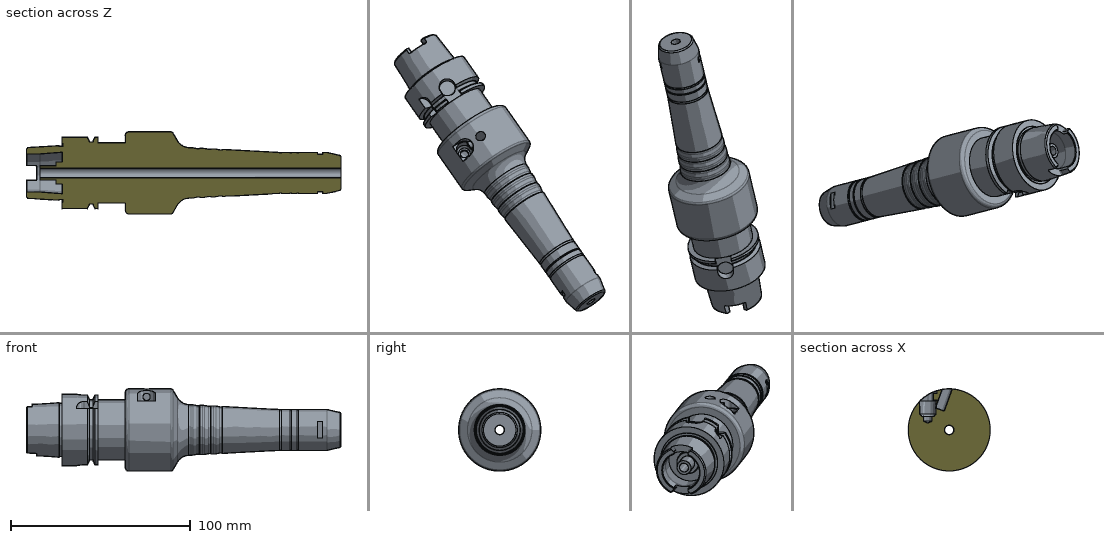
import cadquery as cq
import math

LENGTH = 175.0

TAPER_TIP_RADIUS = 14.2
TAPER_END_RADIUS = 15.2
TAPER_END_X = 18.2
TIP_CHAMFER = 0.7
RELIEF_RADIUS = 14.9
FACE_RELIEF_RADIUS = 16.3
FACE_RELIEF_DEPTH = 0.5

FLANGE_RADIUS = 20.0
FLANGE_X = 19.8
FLANGE_END_X = 39.9
GROOVE_RADIUS = 17.3
GROOVE_WALL_RADIUS = 17.8
GROOVE_START_X = 35.0
GROOVE_END_X = 37.1
GROOVE_FLANK = 1.0

NECK_RADIUS = 16.8
BODY_RADIUS = 23.0
BODY_X = 55.0
BODY_EDGE_RADIUS = 2.1
BODY_SHOULDER_RADIUS = 1.4
SHOULDER_ANGLE = 60.0
SHOULDER_BLEND_RADIUS = 7.5

STEM_X = 90.1
STEM_RADIUS = 14.2
STEM_END_X = 140.7
NOSE_RADIUS = 23.0 / 2
NOSE_TAPER_X = 167.1
NOSE_TAPER_END_X = 174.3
NOSE_TAPER_END_RADIUS = 9.8
NOSE_FACE_RADIUS = 18.0 / 2

RING_COUNT = 3
RING_PITCH = 6.3
RING_CREST_START = 1.4
RING_CREST_END = 2.6
RING_FLOOR_START = 4.7
RING_FLOOR_END = 6.0
RING_DEPTH = 0.4
RING_EDGE_DROP = 0.09

NOSE_GROOVES = [(STEM_END_X, 1.2), (146.6, 0.7), (150.3, 1.0)]
NOSE_GROOVE_DEPTH = 0.2

FLAT_X = 161.9
FLAT_WIDTH = 2.8
FLAT_HALF_SPACING = 10.5

BORE_RADIUS = 21 / 2
BORE_MOUTH_RADIUS = 21.9 / 2
BORE_DEPTH = 7.5
UNDERCUT_RADIUS = 23.0 / 2
CAVITY_DEPTH = 20.0
TUBE_TIP_X = 7.5
TUBE_RADIUS = 8.0 / 2
COLLAR_RADIUS = 12.5 / 2
COLLAR_FACE_RADIUS = 12.0 / 2
COLLAR_X = 16.5
COOLANT_DIAMETER = 5.0

DRIVE_SLOT_WIDTH = 8.0
DRIVE_SLOT_FLARE = 2.3
DRIVE_SLOT_FLARE_Z = 11.0
DRIVE_SLOT_BOTTOM_Z = 8.2
DRIVE_SLOT_FILLET = 0.5
UPPER_SLOT_DEPTH = 3.3
LOWER_SLOT_DEPTH = 5.8

KEYWAY_DIAMETER = 9.0
KEYWAY_X = 32.2
KEYWAY_FLOOR = 16.8
KEYWAY_POCKET_FLOOR = 15.0
NOTCH_Y = -16.6
NOTCH_FLOOR = 11.9

SCREW_X = 66.8
SCREW_Y = -11.9
POCKET_DIAMETER = 10.2
POCKET_FLOOR = 16.1
SCREW_BORE_DIAMETER = 9.0
SCREW_BORE_FLOOR = 8.8
SCREW_HEAD_DIAMETER = 6.5
SOCKET_DIAMETER = 4.5
SOCKET_DEPTH = 2.6
SOCKET_CONE_DEPTH = 1.0
PIN_DIAMETER = 4.0
PIN_Z = 18.4
PIN_TIP_Y = -9.0
PIN_ROOT_Y = -5.2
VENT_DIAMETER = 5.0
VENT_Y = -1.0
VENT_TILT = 20.0
VENT_DEPTH = 12.2


def polar(center, radius, angle):
    """Point at an angle in degrees from the axis direction around a centre in the (X, radius) plane."""
    turn = math.radians(angle)
    return (center[0] + radius * math.cos(turn), center[1] + radius * math.sin(turn))


def add_arc(profile, center, radius, start_angle, end_angle):
    """Line to the start of an arc, then follow the arc to its end."""
    middle = polar(center, radius, (start_angle + end_angle) / 2)
    profile = profile.lineTo(*polar(center, radius, start_angle))
    return profile.threePointArc(middle, polar(center, radius, end_angle))


def revolve(profile):
    return profile.close().revolve(360, (0, 0, 0), (1, 0, 0))


def cylinder_z(diameter, x, y, bottom, top):
    return cq.Workplane("XY", origin=(x, y, bottom)).circle(diameter / 2).extrude(top - bottom)


def block(x_range, y_range, z_range):
    sizes = [high - low for low, high in (x_range, y_range, z_range)]
    corner = (x_range[0], y_range[0], z_range[0])
    return cq.Workplane("XY").box(*sizes, centered=False).translate(corner)


def stem_radius(x):
    slope = (STEM_RADIUS - NOSE_RADIUS) / (STEM_END_X - STEM_X)
    return STEM_RADIUS - slope * (x - STEM_X)


def turned_body():
    stem_angle = math.degrees(math.atan2(STEM_RADIUS - NOSE_RADIUS, STEM_END_X - STEM_X))
    profile = cq.Workplane("XY").moveTo(0, 0).lineTo(0, TAPER_TIP_RADIUS - TIP_CHAMFER)

    profile = profile.lineTo(TIP_CHAMFER, TAPER_TIP_RADIUS)
    profile = profile.lineTo(TAPER_END_X, TAPER_END_RADIUS)
    profile = profile.lineTo(TAPER_END_X + TAPER_END_RADIUS - RELIEF_RADIUS, RELIEF_RADIUS)
    profile = profile.lineTo(FLANGE_X + FACE_RELIEF_DEPTH, RELIEF_RADIUS)
    profile = profile.lineTo(FLANGE_X + FACE_RELIEF_DEPTH, FACE_RELIEF_RADIUS)
    profile = profile.lineTo(FLANGE_X, FACE_RELIEF_RADIUS).lineTo(FLANGE_X, FLANGE_RADIUS)
    profile = profile.lineTo(GROOVE_START_X - GROOVE_FLANK, FLANGE_RADIUS)
    profile = profile.lineTo(GROOVE_START_X, GROOVE_WALL_RADIUS).lineTo(GROOVE_START_X, GROOVE_RADIUS)
    profile = profile.lineTo(GROOVE_END_X, GROOVE_RADIUS).lineTo(GROOVE_END_X, GROOVE_WALL_RADIUS)
    profile = profile.lineTo(GROOVE_END_X + GROOVE_FLANK, FLANGE_RADIUS)
    profile = profile.lineTo(FLANGE_END_X, FLANGE_RADIUS).lineTo(FLANGE_END_X, NECK_RADIUS)

    profile = profile.lineTo(BODY_X, NECK_RADIUS)
    front_center = (BODY_X + BODY_EDGE_RADIUS, BODY_RADIUS - BODY_EDGE_RADIUS)
    profile = add_arc(profile, front_center, BODY_EDGE_RADIUS, 180, 90)

    blend_center = polar((STEM_X, STEM_RADIUS), SHOULDER_BLEND_RADIUS, 90 - stem_angle)
    blend_start = polar(blend_center, SHOULDER_BLEND_RADIUS, 270 - SHOULDER_ANGLE)
    shoulder_run = (BODY_RADIUS - blend_start[1]) / math.tan(math.radians(SHOULDER_ANGLE))
    corner_setback = BODY_SHOULDER_RADIUS * math.tan(math.radians(SHOULDER_ANGLE / 2))
    shoulder_center = (blend_start[0] - shoulder_run - corner_setback, BODY_RADIUS - BODY_SHOULDER_RADIUS)
    profile = add_arc(profile, shoulder_center, BODY_SHOULDER_RADIUS, 90, 90 - SHOULDER_ANGLE)
    profile = add_arc(profile, blend_center, SHOULDER_BLEND_RADIUS, 270 - SHOULDER_ANGLE, 270 - stem_angle)

    ring_stations = [
        (0, RING_EDGE_DROP),
        (RING_CREST_START, 0),
        (RING_CREST_END, 0),
        (RING_FLOOR_START, RING_DEPTH),
        (RING_FLOOR_END, RING_DEPTH),
    ]
    for index in range(RING_COUNT):
        ring_x = STEM_X + index * RING_PITCH
        for offset, drop in ring_stations:
            profile = profile.lineTo(ring_x + offset, stem_radius(ring_x + offset) - drop)
    stem_cone_x = STEM_X + RING_COUNT * RING_PITCH
    profile = profile.lineTo(stem_cone_x, stem_radius(stem_cone_x))

    for groove_x, width in NOSE_GROOVES:
        profile = profile.lineTo(groove_x, NOSE_RADIUS).lineTo(groove_x, NOSE_RADIUS - NOSE_GROOVE_DEPTH)
        profile = profile.lineTo(groove_x + width, NOSE_RADIUS - NOSE_GROOVE_DEPTH)
        profile = profile.lineTo(groove_x + width, NOSE_RADIUS)
    profile = profile.lineTo(NOSE_TAPER_X, NOSE_RADIUS).lineTo(NOSE_TAPER_END_X, NOSE_TAPER_END_RADIUS)
    profile = profile.lineTo(LENGTH, NOSE_FACE_RADIUS).lineTo(LENGTH, 0)
    return revolve(profile)


def shank_cavity():
    """Shank bore, widening conically inward, that leaves the coolant tube and its collar standing."""
    mouth_chamfer = BORE_MOUTH_RADIUS - BORE_RADIUS
    collar_chamfer = COLLAR_RADIUS - COLLAR_FACE_RADIUS
    outline = [
        (0, 0),
        (0, BORE_MOUTH_RADIUS),
        (mouth_chamfer, BORE_RADIUS),
        (BORE_DEPTH, BORE_RADIUS),
        (CAVITY_DEPTH, UNDERCUT_RADIUS),
        (CAVITY_DEPTH, COLLAR_RADIUS),
        (COLLAR_X + collar_chamfer, COLLAR_RADIUS),
        (COLLAR_X, COLLAR_FACE_RADIUS),
        (COLLAR_X, TUBE_RADIUS),
        (TUBE_TIP_X, TUBE_RADIUS),
        (TUBE_TIP_X, 0),
    ]
    return revolve(cq.Workplane("XY").polyline(outline))


def coolant_bore():
    return cq.Workplane("YZ").circle(COOLANT_DIAMETER / 2).extrude(LENGTH)


def drive_slot(depth):
    """Slot at the top of the shank end with flared outer edges and a filleted floor."""
    half_width = DRIVE_SLOT_WIDTH / 2
    flare_half_width = half_width + DRIVE_SLOT_FLARE
    flare_top = DRIVE_SLOT_FLARE_Z + DRIVE_SLOT_FLARE
    right_side = [
        (half_width, DRIVE_SLOT_BOTTOM_Z),
        (half_width, DRIVE_SLOT_FLARE_Z),
        (flare_half_width, flare_top),
        (flare_half_width, FLANGE_RADIUS),
    ]
    left_side = [(-y, z) for y, z in reversed(right_side)]
    slot = cq.Workplane("YZ").polyline(right_side + left_side).close().extrude(depth)
    return slot.faces(">X").edges().fillet(DRIVE_SLOT_FILLET)


def cutter_slot(y, floor):
    """Round-ended slot open toward +X, milled down to a floor height."""
    half_width = KEYWAY_DIAMETER / 2
    slot = block((KEYWAY_X, FLANGE_END_X), (y - half_width, y + half_width), (floor, BODY_RADIUS))
    return slot.union(cylinder_z(KEYWAY_DIAMETER, KEYWAY_X, y, floor, BODY_RADIUS))


def gripper_keyway():
    pocket = cylinder_z(KEYWAY_DIAMETER, KEYWAY_X, 0, KEYWAY_POCKET_FLOOR, BODY_RADIUS)
    return cutter_slot(0, KEYWAY_FLOOR).union(pocket)


def nose_flat():
    """Shallow flat-bottomed slot on the -Y side of the nose."""
    return block(
        (FLAT_X, FLAT_X + FLAT_WIDTH),
        (-BODY_RADIUS, -FLAT_HALF_SPACING),
        (-BODY_RADIUS, BODY_RADIUS),
    )


def screw_pocket():
    """U-shaped pocket open toward -Y with a socket screw sunk in its floor."""
    half_width = POCKET_DIAMETER / 2
    pocket = cylinder_z(POCKET_DIAMETER, SCREW_X, SCREW_Y, POCKET_FLOOR, BODY_RADIUS)
    mouth = block(
        (SCREW_X - half_width, SCREW_X + half_width),
        (-BODY_RADIUS, SCREW_Y),
        (POCKET_FLOOR, BODY_RADIUS),
    )
    cone_depth = (SCREW_BORE_DIAMETER - SCREW_HEAD_DIAMETER) / 2
    head_z = SCREW_BORE_FLOOR - cone_depth
    socket_z = head_z - SOCKET_DEPTH
    outline = [
        (0, POCKET_FLOOR),
        (SCREW_BORE_DIAMETER / 2, POCKET_FLOOR),
        (SCREW_BORE_DIAMETER / 2, SCREW_BORE_FLOOR),
        (SCREW_HEAD_DIAMETER / 2, head_z),
        (SOCKET_DIAMETER / 2, head_z),
        (SOCKET_DIAMETER / 2, socket_z),
        (0, socket_z - SOCKET_CONE_DEPTH),
    ]
    screw_recess = cq.Workplane("XZ").polyline(outline).close().revolve(360, (0, 0, 0), (0, 1, 0))
    return pocket.union(mouth).union(screw_recess.translate((SCREW_X, SCREW_Y, 0)))


def stop_pin():
    """Pin that stands out of the pocket wall toward -Y."""
    plane = cq.Workplane("XZ", origin=(SCREW_X, PIN_ROOT_Y, PIN_Z))
    return plane.circle(PIN_DIAMETER / 2).extrude(PIN_ROOT_Y - PIN_TIP_Y)


def vent_hole():
    """Blind hole in the top of the body, leaning toward -Y as it goes down."""
    hole = cylinder_z(VENT_DIAMETER, 0, 0, -VENT_DEPTH, VENT_DIAMETER)
    tilted = hole.rotate((0, 0, 0), (1, 0, 0), -VENT_TILT)
    return tilted.translate((SCREW_X, VENT_Y, BODY_RADIUS))


result = turned_body().cut(shank_cavity()).cut(coolant_bore())
result = result.cut(drive_slot(UPPER_SLOT_DEPTH))
result = result.cut(drive_slot(LOWER_SLOT_DEPTH).mirror("XY"))
result = result.cut(gripper_keyway()).cut(gripper_keyway().mirror("XY"))
result = result.cut(cutter_slot(NOTCH_Y, NOTCH_FLOOR))
result = result.cut(nose_flat()).cut(nose_flat().mirror("XZ"))
result = result.cut(screw_pocket()).union(stop_pin()).cut(vent_hole())